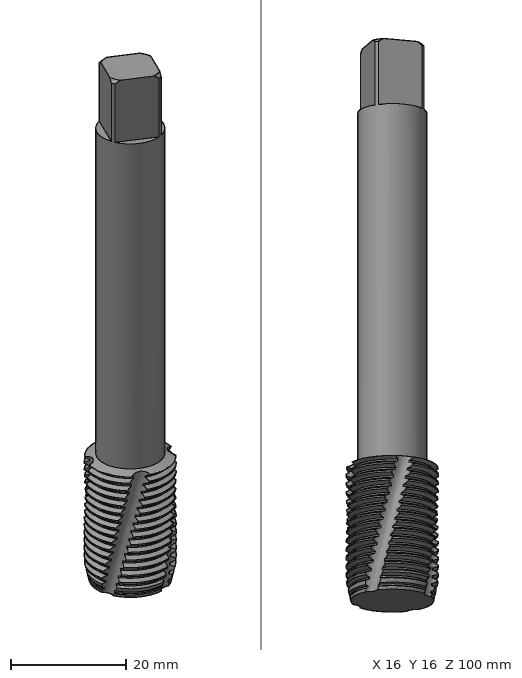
import cadquery as cq
import math

total_length = 100.0
head_length = 24.5

shank_radius = 6.0
square_width = 9.0
square_length = 12.0
shank_chamfer = 0.6

thread_radius = 8.0
root_radius = 7.1
pitch = 1.5
first_crest_height = 0.1
crest_width = 0.3
root_width = 0.3

lead_radius = 7.2
lead_length = 3.5
top_slope_height = 0.6

flute_count = 4
flute_floor_radius = 6.7
flute_section_radius = 1.8
flute_twist = 48.0

cut_margin = 1.0


def make_shank():
    """Round shank whose upper end is flattened to a square with rounded corners."""
    shank_length = total_length - head_length
    shank = (
        cq.Workplane("XY")
        .workplane(offset=head_length)
        .circle(shank_radius)
        .extrude(shank_length)
        .faces(">Z")
        .chamfer(shank_chamfer)
    )
    flats = (
        cq.Workplane("XY")
        .workplane(offset=total_length - square_length)
        .circle(shank_radius + cut_margin)
        .rect(square_width, square_width)
        .extrude(square_length)
    )
    return shank.cut(flats)


def make_head_blank():
    """Turned blank with a lead taper at the bottom and a shallow cone from the rim up to the shank."""
    return (
        cq.Workplane("XZ")
        .moveTo(0, 0)
        .lineTo(lead_radius, 0)
        .lineTo(thread_radius, lead_length)
        .lineTo(thread_radius, head_length - top_slope_height)
        .lineTo(shank_radius, head_length)
        .lineTo(0, head_length)
        .close()
        .revolve(360, (0, 0, 0), (0, 1, 0))
    )


def make_thread_form():
    """Cylinder with ridges of trapezoid section, reaching past both ends of the head."""
    bottom = first_crest_height - pitch
    crest_count = math.ceil((head_length - bottom) / pitch) + 1
    flank_height = (pitch - crest_width - root_width) / 2
    half_crest = crest_width / 2
    profile = cq.Workplane("XZ").moveTo(0, bottom - pitch / 2).lineTo(root_radius, bottom - pitch / 2)
    for i in range(crest_count):
        crest = bottom + i * pitch
        profile = (
            profile.lineTo(root_radius, crest - half_crest - flank_height)
            .lineTo(thread_radius, crest - half_crest)
            .lineTo(thread_radius, crest + half_crest)
            .lineTo(root_radius, crest + half_crest + flank_height)
        )
    top = bottom + (crest_count - 0.5) * pitch
    return (
        profile.lineTo(root_radius, top)
        .lineTo(0, top)
        .close()
        .revolve(360, (0, 0, 0), (0, 1, 0))
    )


def make_flute(start_angle):
    """Twisted cutter of round section that sinks to the flute floor."""
    return (
        cq.Workplane("XY")
        .transformed(rotate=(0, 0, start_angle))
        .moveTo(flute_floor_radius + flute_section_radius, 0)
        .circle(flute_section_radius)
        .twistExtrude(head_length, flute_twist)
    )


def make_head():
    """Threaded cutting head with evenly spaced twisted flutes that run its full length."""
    head = make_head_blank().intersect(make_thread_form())
    for i in range(flute_count):
        head = head.cut(make_flute(i * 360 / flute_count - flute_twist))
    return head


shank = make_shank()
head = make_head()

result = cq.Compound.makeCompound([shank.solids().val(), head.solids().val()])